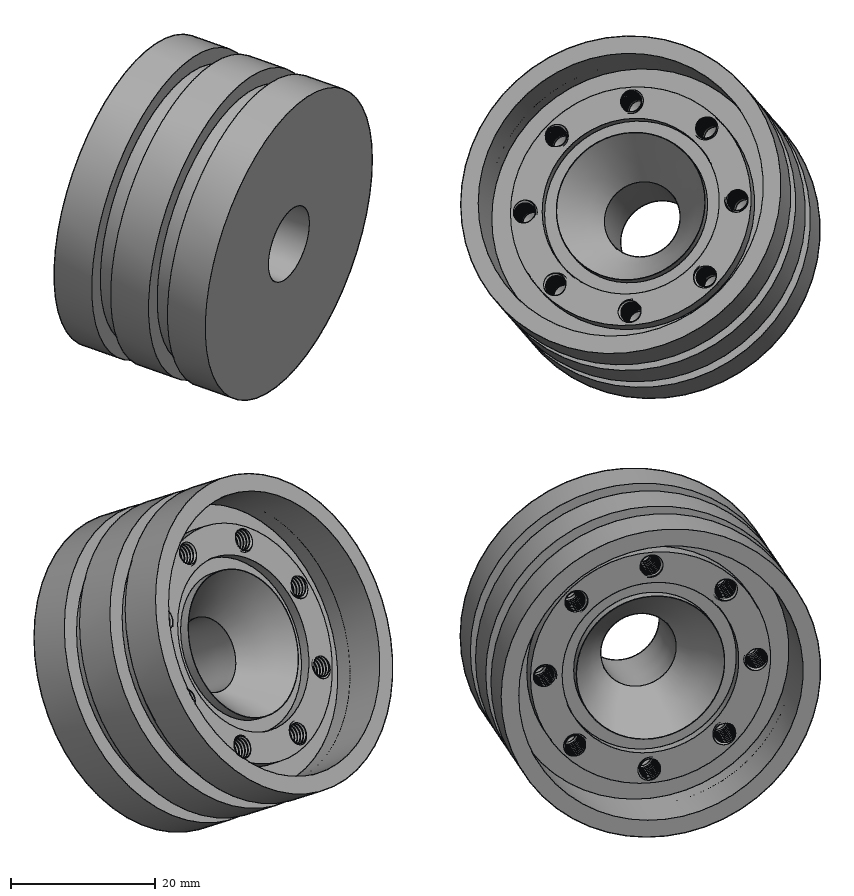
import cadquery as cq
import math

LENGTH = 24.35
OUTER_DIAMETER = 45.5

LAND_WIDTH = LENGTH / 4
GROOVE_WIDTH = LAND_WIDTH / 2
GROOVE_DIAMETER = 40.8

RECESS_DIAMETER = 40.5
RECESS_DEPTH = 8.4
BOSS_DIAMETER = 34.15
BOSS_HEIGHT = 2.25
BOSS_FACE = RECESS_DEPTH - BOSS_HEIGHT

CHANNEL_DIAMETER = 25.15
HUB_DIAMETER = 21.15
CHANNEL_DEPTH = 1.5

MOUTH_DIAMETER = 21.05
FUNNEL_DEPTH = 7.1
THROAT_DIAMETER = 10.75
THROAT_LENGTH = 1.05
REAR_DIAMETER = 11.15

HOLE_COUNT = 8
HOLE_CIRCLE_RADIUS = 15.1
CORE_RADIUS = 2.9 / 2
THREAD_RADIUS = 3.6 / 2
THREAD_PITCH = 0.6
GROOVE_FLAT = 0.1
HOLE_DEPTH = 5.45
TIP_ANGLE = 120
THREAD_OVERLAP = 0.05
THREAD_START_ANGLE = -90


def disc(diameter, start, length):
    """Cylinder along +X from the given X."""
    return cq.Workplane("YZ", origin=(start, 0, 0)).circle(diameter / 2).extrude(length)


def ring(outer_diameter, inner_diameter, start, length):
    return disc(outer_diameter, start, length).cut(disc(inner_diameter, start, length))


def turned(outline):
    """Solid turned about the X axis from (x, radius) points."""
    return cq.Workplane("XZ").polyline(outline).close().revolve(360, (0, 0, 0), (1, 0, 0))


def bore():
    funnel_end = BOSS_FACE + FUNNEL_DEPTH
    throat_end = funnel_end + THROAT_LENGTH
    return turned([
        (BOSS_FACE, 0),
        (BOSS_FACE, MOUTH_DIAMETER / 2),
        (funnel_end, THROAT_DIAMETER / 2),
        (throat_end, THROAT_DIAMETER / 2),
        (LENGTH, REAR_DIAMETER / 2),
        (LENGTH, 0),
    ])


def drilled_hole():
    """Blind hole on the X axis with a conical tip."""
    floor = BOSS_FACE + HOLE_DEPTH
    tip_height = CORE_RADIUS / math.tan(math.radians(TIP_ANGLE / 2))
    return turned([
        (BOSS_FACE, 0),
        (BOSS_FACE, CORE_RADIUS),
        (floor, CORE_RADIUS),
        (floor + tip_height, 0),
    ])


def thread_groove():
    """Helical V groove on the X axis, starting one pitch ahead of the boss face."""
    inner_radius = CORE_RADIUS - THREAD_OVERLAP
    half_width = (THREAD_PITCH - GROOVE_FLAT) / 2
    helix = cq.Wire.makeHelix(THREAD_PITCH, HOLE_DEPTH, inner_radius)
    profile = (
        cq.Workplane("XZ")
        .moveTo(inner_radius, -half_width)
        .lineTo(THREAD_RADIUS, 0)
        .lineTo(inner_radius, half_width)
        .close()
    )
    groove = profile.sweep(cq.Workplane(helix), isFrenet=True)
    groove = groove.rotate((0, 0, 0), (0, 0, 1), THREAD_START_ANGLE)
    groove = groove.rotate((0, 0, 0), (0, 1, 0), 90)
    return groove.translate((BOSS_FACE - THREAD_PITCH, 0, 0))


wheel = disc(OUTER_DIAMETER, 0, LENGTH)
for groove_start in (LAND_WIDTH, 2 * LAND_WIDTH + GROOVE_WIDTH):
    wheel = wheel.cut(ring(OUTER_DIAMETER, GROOVE_DIAMETER, groove_start, GROOVE_WIDTH))

wheel = wheel.cut(disc(RECESS_DIAMETER, 0, RECESS_DEPTH))
wheel = wheel.union(disc(BOSS_DIAMETER, BOSS_FACE, BOSS_HEIGHT))
wheel = wheel.cut(ring(CHANNEL_DIAMETER, HUB_DIAMETER, BOSS_FACE, CHANNEL_DEPTH))

wheel = wheel.cut(bore())

threaded_hole = drilled_hole().union(thread_groove()).translate((0, 0, HOLE_CIRCLE_RADIUS))
for index in range(HOLE_COUNT):
    wheel = wheel.cut(threaded_hole.rotate((0, 0, 0), (1, 0, 0), index * 360 / HOLE_COUNT))

result = wheel